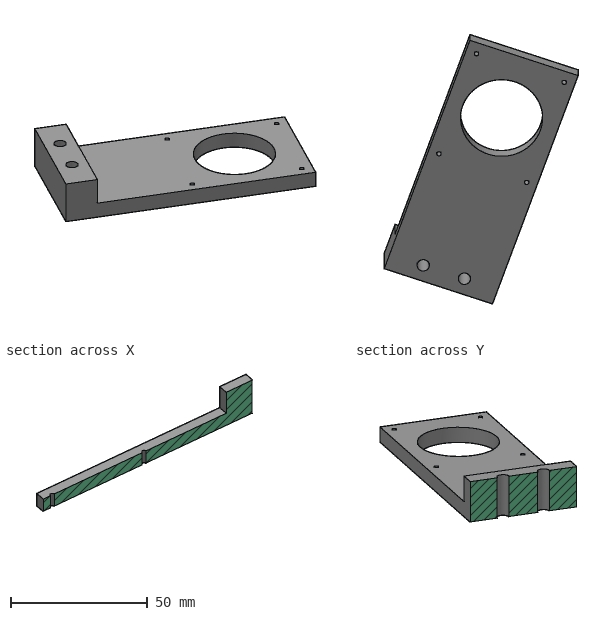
import cadquery as cq

length = 95.0
width = 42.0
height = 16.0
plate_thickness = 6.0
block_depth = 12.0

opening_diameter = 30.0
opening_from_back = 25.0
opening_y = length / 2 - opening_from_back

small_hole_diameter = 1.6
small_hole_spacing_x = 34.0
small_hole_spacing_y = 41.6

mount_hole_diameter = 4.5
mount_hole_spacing = 16.0
block_y = -length / 2 + block_depth / 2


def make_body():
    """Flat plate with a raised block along its front edge, resting on Z = 0."""
    plate = cq.Workplane("XY").box(width, length, plate_thickness, centered=(True, True, False))
    block = (
        cq.Workplane("XY")
        .center(0, block_y)
        .box(width, block_depth, height, centered=(True, True, False))
    )
    return plate.union(block)


def make_through_pins(diameter, center_y, spacing_x=0, spacing_y=0):
    """Full-height cylinders at the corners of a rectangle, or fewer where a spacing is zero."""
    x_places = {-spacing_x / 2, spacing_x / 2}
    y_places = {center_y - spacing_y / 2, center_y + spacing_y / 2}
    points = [(x, y) for x in x_places for y in y_places]
    return cq.Workplane("XY").pushPoints(points).circle(diameter / 2).extrude(height)


opening = make_through_pins(opening_diameter, opening_y)
small_holes = make_through_pins(
    small_hole_diameter, opening_y, small_hole_spacing_x, small_hole_spacing_y
)
mount_holes = make_through_pins(mount_hole_diameter, block_y, mount_hole_spacing)

result = make_body().cut(opening).cut(small_holes).cut(mount_holes)